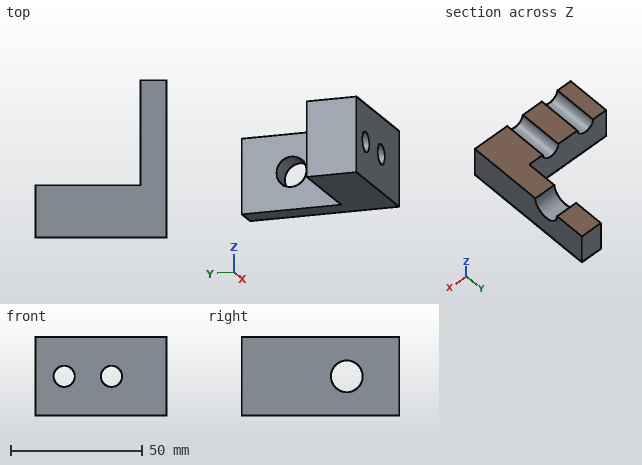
import cadquery as cq

width = 50.0
length = 60.0
height = 30.0
wall_thickness = 10.0
block_depth = length / 3

small_hole_diameter = 8.0
first_hole_x = 11.0
small_hole_spacing = 18.0

large_hole_diameter = 12.0
large_hole_y = length - length / 3

mid_height = height / 2


def l_body():
    block = cq.Workplane("XY").box(width, block_depth, height, centered=False)
    wall = (
        cq.Workplane("XY")
        .box(wall_thickness, length, height, centered=False)
        .translate((width - wall_thickness, 0, 0))
    )
    return block.union(wall)


def block_hole(x):
    return (
        cq.Workplane("XZ")
        .center(x, mid_height)
        .circle(small_hole_diameter / 2)
        .extrude(-block_depth)
    )


def wall_hole():
    return (
        cq.Workplane("YZ", origin=(width - wall_thickness, 0, 0))
        .center(large_hole_y, mid_height)
        .circle(large_hole_diameter / 2)
        .extrude(wall_thickness)
    )


result = l_body().cut(wall_hole())
for hole_x in (first_hole_x, first_hole_x + small_hole_spacing):
    result = result.cut(block_hole(hole_x))